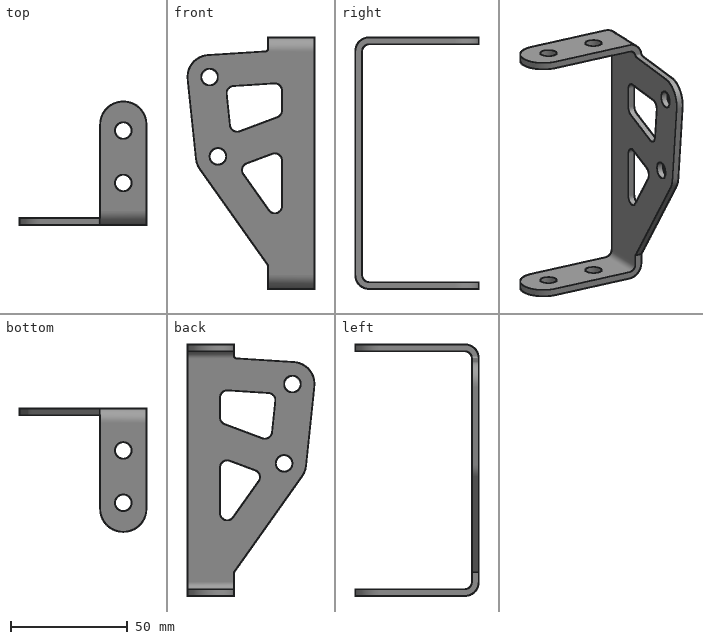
import cadquery as cq
import math

height = 108.0
depth = 53.0
thickness = 3.0
inner_bend_radius = 3.0
outer_bend_radius = inner_bend_radius + thickness
flange_width = 20.0
hole_diameter = 7.0
flange_hole_depths = (18.0, 40.5)

upper_hole = (-45.0, 90.9)
lower_hole = (-41.5, 56.9)
lobe_radius = 9.5
plate_width = lobe_radius - upper_hole[0]
upper_neck = (-flange_width, 102.1)
lower_neck = (-flange_width, 10.2)
neck_fillet = 1.0

web = 14.0
hole_web = 16.1
strut_angle = 20.5
strut_right_end = (0.0, 72.3)
window_fillet = 3.0


def shifted(point, angle, distance):
    """Move a point along the direction given by an angle in radians."""
    return (point[0] + distance * math.cos(angle), point[1] + distance * math.sin(angle))


def direction(start, end):
    return math.atan2(end[1] - start[1], end[0] - start[0])


def tangent_direction(neck, center, side):
    """Angle of the line from neck touching the lobe; side is +1 (left of center) or -1."""
    return direction(neck, center) + side * math.asin(lobe_radius / math.dist(neck, center))


def offset_line(line, distance):
    """Shift a (point, angle) line to its left."""
    point, angle = line
    return (shifted(point, angle + math.pi / 2, distance), angle)


def crossing(first, second):
    """Intersection of two (point, angle) lines."""
    (x1, z1), a1 = first
    (x2, z2), a2 = second
    along = ((x2 - x1) * math.sin(a2) - (z2 - z1) * math.cos(a2)) / math.sin(a2 - a1)
    return shifted((x1, z1), a1, along)


top_angle = tangent_direction(upper_neck, upper_hole, -1)
top_edge = (upper_neck, top_angle)
left_angle = direction(upper_hole, lower_hole)
left_edge = (shifted(upper_hole, left_angle - math.pi / 2, lobe_radius), left_angle)
slant_angle = tangent_direction(lower_neck, lower_hole, 1) - math.pi
slant_edge = (lower_neck, slant_angle)
right_edge = ((0.0, 0.0), math.pi / 2)
strut_line = (strut_right_end, math.radians(strut_angle))


def bent_sheet():
    """U-shaped strip spanning the full width of the plate."""
    outer = (
        cq.Workplane("XY")
        .box(plate_width, depth, height, centered=False)
        .translate((-plate_width, 0, 0))
        .edges("|X and <Y")
        .fillet(outer_bend_radius)
    )
    inner = (
        cq.Workplane("XY")
        .box(plate_width, depth, height - 2 * thickness, centered=False)
        .translate((-plate_width, thickness, thickness))
        .edges("|X and <Y")
        .fillet(inner_bend_radius)
    )
    return outer.cut(inner)


def front_outline():
    """Solid with the front silhouette, deep enough to cover the flanges."""
    out = -math.pi / 2
    upper_start = shifted(upper_hole, top_angle + out, lobe_radius)
    upper_middle = shifted(upper_hole, (top_angle + left_angle) / 2 + out, lobe_radius)
    upper_end = shifted(upper_hole, left_angle + out, lobe_radius)
    lower_start = shifted(lower_hole, left_angle + out, lobe_radius)
    lower_middle = shifted(lower_hole, (left_angle + slant_angle) / 2 + out, lobe_radius)
    lower_end = shifted(lower_hole, slant_angle + out, lobe_radius)
    outline = (
        cq.Workplane("XZ")
        .moveTo(0, 0)
        .lineTo(0, height)
        .lineTo(-flange_width, height)
        .lineTo(*upper_neck)
        .lineTo(*upper_start)
        .threePointArc(upper_middle, upper_end)
        .lineTo(*lower_start)
        .threePointArc(lower_middle, lower_end)
        .lineTo(*lower_neck)
        .lineTo(-flange_width, 0)
        .close()
        .extrude(-depth)
    )
    neck_corner = cq.selectors.NearestToPointSelector((upper_neck[0], depth / 2, upper_neck[1]))
    return outline.edges("|Y").edges(neck_corner).fillet(neck_fillet)


def window(sides):
    """Cutter for a window with rounded corners, bounded by successive lines."""
    corners = [crossing(sides[i - 1], sides[i]) for i in range(len(sides))]
    cutter = cq.Workplane("XZ").polyline(corners).close().extrude(-thickness)
    return cutter.edges("|Y").fillet(window_fillet)


def plan_outline():
    """Plan silhouette: round-ended flanges plus the full-width band at the front plate."""
    end_radius = flange_width / 2
    straight = depth - end_radius
    return (
        cq.Workplane("XY")
        .moveTo(0, 0)
        .lineTo(0, straight)
        .threePointArc((-end_radius, depth), (-flange_width, straight))
        .lineTo(-flange_width, outer_bend_radius)
        .lineTo(-plate_width, outer_bend_radius)
        .lineTo(-plate_width, 0)
        .close()
        .extrude(height)
    )


def plate_holes():
    return (
        cq.Workplane("XZ")
        .pushPoints([upper_hole, lower_hole])
        .circle(hole_diameter / 2)
        .extrude(-thickness)
    )


def flange_holes():
    """Holes running through both flanges."""
    return (
        cq.Workplane("XY")
        .pushPoints([(-flange_width / 2, y) for y in flange_hole_depths])
        .circle(hole_diameter / 2)
        .extrude(height)
    )


upper_window = window([
    offset_line(top_edge, web),
    offset_line(left_edge, hole_web),
    offset_line(strut_line, web / 2),
    offset_line(right_edge, web),
])
lower_window = window([
    offset_line(strut_line, -web / 2),
    offset_line(slant_edge, web),
    offset_line(right_edge, web),
])

result = bent_sheet().intersect(front_outline())
result = result.intersect(plan_outline())
result = result.cut(upper_window).cut(lower_window)
result = result.cut(plate_holes()).cut(flange_holes())